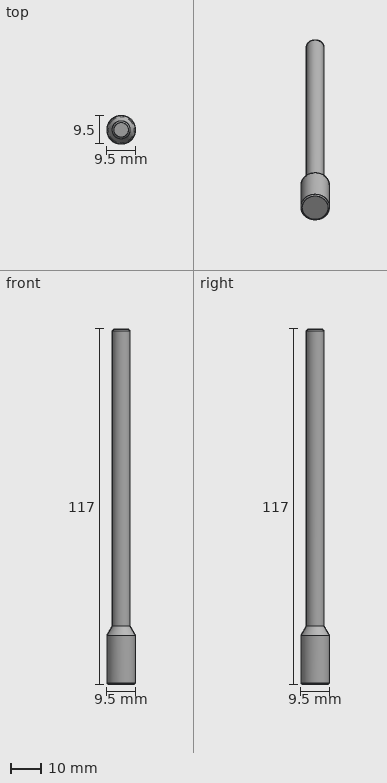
import cadquery as cq

total_length = 117.0
shank_diameter = 6.0
shank_chamfer = 0.6
head_diameter = 9.5
head_length = 19.2
head_cone_height = 3.0
head_chamfer = 0.5

shank_length = total_length - head_length


def make_head():
    """Cylindrical head, chamfered underneath, with a cone narrowing to the shank."""
    head_radius = head_diameter / 2
    shank_radius = shank_diameter / 2
    return (
        cq.Workplane("XZ")
        .moveTo(0, 0)
        .lineTo(head_radius - head_chamfer, 0)
        .lineTo(head_radius, head_chamfer)
        .lineTo(head_radius, head_length - head_cone_height)
        .lineTo(shank_radius, head_length)
        .lineTo(0, head_length)
        .close()
        .revolve(360, (0, 0), (0, 1))
    )


def make_shank():
    """Straight round shank standing on the head, chamfered at its free end."""
    return (
        cq.Workplane("XY")
        .workplane(offset=head_length)
        .circle(shank_diameter / 2)
        .extrude(shank_length)
        .faces(">Z")
        .chamfer(shank_chamfer)
    )


head = make_head()
shank = make_shank()

result = cq.Compound.makeCompound([head.val(), shank.val()])